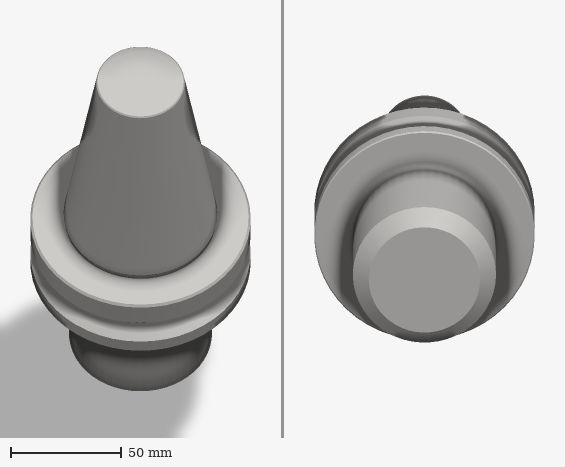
import cadquery as cq

total_height = 201.8
gauge_level = 100.0
flange_top = 97.0
flange_bottom = 62.2

gauge_radius = 35.0
taper_ratio = 7 / 24
taper_top_radius = gauge_radius - (total_height - gauge_level) * taper_ratio / 2
taper_top_chamfer = 0.6

neck_radius = 34.5
neck_step_height = 0.8

flange_radius = 50.0
flange_edge_chamfer = 1.0
flange_bottom_chamfer = 0.6
groove_radius = 42.4
groove_floor_bottom = 73.7
groove_floor_top = 80.5
groove_side_height = 3.8

nose_radius = 32.5
nose_chamfer = 7.3
nose_fillet = 3.0


def nose_and_flange():
    """Nose cylinder and grooved flange, revolved about Z."""
    profile = (
        cq.Workplane("XZ")
        .lineTo(nose_radius - nose_chamfer, 0)
        .lineTo(nose_radius, nose_chamfer)
        .lineTo(nose_radius, flange_bottom - nose_fillet)
        .radiusArc((nose_radius + nose_fillet, flange_bottom), nose_fillet)
        .lineTo(flange_radius - flange_bottom_chamfer, flange_bottom)
        .lineTo(flange_radius, flange_bottom + flange_bottom_chamfer)
        .lineTo(flange_radius, groove_floor_bottom - groove_side_height)
        .lineTo(groove_radius, groove_floor_bottom)
        .lineTo(groove_radius, groove_floor_top)
        .lineTo(flange_radius, groove_floor_top + groove_side_height)
        .lineTo(flange_radius, flange_top - flange_edge_chamfer)
        .lineTo(flange_radius - flange_edge_chamfer, flange_top)
        .lineTo(0, flange_top)
        .close()
    )
    return profile.revolve(360, (0, 0, 0), (0, 1, 0))


def taper_shank():
    """Undercut neck and tapered shank, revolved about Z."""
    profile = (
        cq.Workplane("XZ")
        .moveTo(0, flange_top)
        .lineTo(neck_radius, flange_top)
        .lineTo(neck_radius, gauge_level - neck_step_height)
        .lineTo(gauge_radius, gauge_level)
        .lineTo(taper_top_radius, total_height - taper_top_chamfer)
        .lineTo(taper_top_radius - taper_top_chamfer, total_height)
        .lineTo(0, total_height)
        .close()
    )
    return profile.revolve(360, (0, 0, 0), (0, 1, 0))


result = nose_and_flange().union(taper_shank())